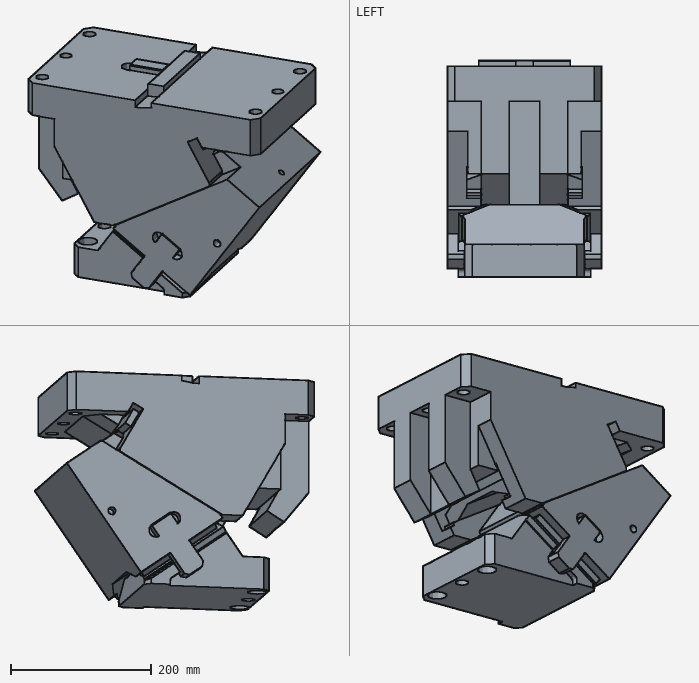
import cadquery as cq
import math


REACH = 1089.0
TOL = 0.5
CLEARANCE = 0.7

MOUNT_ANGLE = 30.0
DRIVER_ANGLE = -35.0

MOUNT_LENGTH = 360.0
WIDTH = 220.0
HALF_WIDTH = WIDTH / 2
PLATE_TOP = 300.5
PLATE_LEFT_BOTTOM = 250.5
PLATE_RIGHT_BOTTOM = 245.0
PLATE_CHAMFER = 11.0
CHEEK_LEFT = 45.0
CHEEK_SHOULDER = 207.5
CHEEK_FOOT = 101.0
CHEEK_RIGHT = 285.0

INNER_BLOCK_HALF = 80.5
INNER_BLOCK_BOTTOM = 147.0
CLAW_HALF = 61.5
CLAW_TIP_LEFT = (36.0, 103.0)
CLAW_TIP_RIGHT = (61.0, 118.3)
CLAW_GAP = 44.0
CLAW_GAP_DEPTH = 36.3

SLOT_START_A = 342.5
SLOT_LIP = 9.8
SLOT_END_A = 359.3
SLOT_TOP_H = 90.5
RECESS_HALF = 82.0
RECESS_TOP_H = 98.0
RECESS_STEPS = ((47.2, 150.3), (51.5, 161.0))
RECESS_ROOF_END_A = 181.5
RECESS_ROOF_SIDE_H = 67.0
RECESS_ROOF_MIDDLE_H = 75.5
STOP_HALF = 81.5
STOP_FLAT_HALF = 61.7
STOP_SIDE_H = 58.8
STOP_BOTTOM_H = 47.5

HOLE_LEFT_X = 15.2
HOLE_RIGHT_X = 344.0
HOLE_LEFT_Y = 85.0
HOLE_RIGHT_Y = 80.0
SCREW_HOLE = 17.8
DOWEL_HOLE = 16.5

GROOVE_LEFT = 170.2
GROOVE_RIGHT = 195.3
GROOVE_BREAK = 178.0
GROOVE_FLOOR = 290.0
GROOVE_RIGHT_FLOOR = 293.0
KEY_TOP = 309.0
KEY_CHAMFER = 1.5
CROSS_KEY_LENGTH = 130.5
LONG_KEY_LEFT = 120.0
LONG_KEY_WIDTH = 25.0
KEYWAY_LEFT = 102.7

SLIDER_TIP = (363.0, 167.0)
SLIDER_START_A = 56.3
SOLE_H = 156.8
SLIDER_TOP_H = 18.5
RAIL_HALF = 61.5
RAIL_WALL = 32.3
RAIL_RIDGE_HALF = 29.0
RAIL_RIDGE = 47.2
RAIL_START_A = 188.7
SOLE_GROOVE_HALF = 75.0
SOLE_GROOVE_DEPTH = 13.8
STRIP_OUTER = 94.0
STRIP_EDGE = 89.3
STRIP_DEPTH = 7.0
STRIP_START_INSET = 9.5
STRIP_END_INSET = 5.8
SIDE_HOLE = 10.5
SIDE_HOLE_DEPTH = 14.5
SIDE_HOLE_AT = (297.2, 100.0)
END_HOLE = 8.7
END_HOLE_DEPTH = 21.8
END_HOLE_INSET = 16.0

HOOK_START_A = 115.8
HOOK_WIDTH = 33.5
HOOK_TOP_H = 203.5
HOOK_BOTTOM_H = 115.5
HOOK_CHAMFER = 5.5
HOOK_LIP_INNER = 86.0
RELIEF_RADIUS = 9.0
POCKET_GAP = 1.0

DRIVER_LEFT = 60.5
DRIVER_RIGHT = 245.5
SHELF_TOP = 46.5
DRIVER_HALF = 85.0
DRIVER_CHAMFER = 10.0
RIDGE_HALF = 47.2
RIDGE_RISE = 10.0
EAVE_HALF = 88.5
EAVE_DROP = 10.0
UNDERCUT_HALF = 84.2
UNDERCUT_DROP = 18.0
LEDGE_DROP = 20.0
FOOT_TOP_DROP = 15.0
FOOT_BEVEL = 4.5
FOOT_LIP_H = 126.5
FOOT_HALF = 94.7
FOOT_LEFT = 208.7
FOOT_ROUND = 6.5
FOOT_CHAMFER = 8.5
BOLT_X = 75.0
BOLT_Y = 60.0
BOLT_HOLE = 27.0
DRIVER_DOWEL = 18.0


def slide_point(angle, along, height):
    """XZ position of a point given along and square to a slideway."""
    a = math.radians(angle)
    return (along * math.cos(a) - height * math.sin(a),
            along * math.sin(a) + height * math.cos(a))


def slide_coords(angle, point):
    """Inverse of slide_point: (along, height) of an XZ position."""
    return slide_point(-angle, *point)


def side_plate(points, y_from, y_to):
    """XZ outline extruded from y_from up to y_to."""
    flat = cq.Workplane("XZ", origin=(0, y_from, 0)).polyline(points).close()
    return flat.extrude(y_from - y_to)


def slide_prism(angle, half_section, start, end):
    """(y, height) half section, mirrored about Y = 0, run along a slideway."""
    a = math.radians(angle)
    plane = cq.Plane(origin=(0, 0, 0), xDir=(0, 1, 0), normal=(math.cos(a), 0, math.sin(a)))
    mirrored = [(-y, h) for y, h in reversed(half_section)]
    section = cq.Workplane(plane).workplane(offset=start).polyline(half_section + mirrored).close()
    return section.extrude(end - start)


def both_sides(solid):
    """The solid together with its mirror image about Y = 0."""
    return solid.union(solid.mirror("XZ"))


def vertical_holes(body, x, positions_y, diameter, bottom, top):
    """Round holes along Z at the given Y positions."""
    for y in positions_y:
        drill = cq.Workplane("XY", origin=(x, y, bottom)).circle(diameter / 2).extrude(top - bottom)
        body = body.cut(drill)
    return body


def rail_section(gap):
    """Half section of the slider's rail, grown by gap."""
    return [(RAIL_HALF + gap, SLIDER_TOP_H),
            (RAIL_HALF + gap, SLIDER_TOP_H + RAIL_WALL + gap),
            (RAIL_RIDGE_HALF, SLIDER_TOP_H + RAIL_RIDGE + gap)]


def mount_body():
    """Plate and cheeks, with the slot that ends the slideway."""
    slideway_h = SLIDER_TOP_H + CLEARANCE
    a = math.radians(MOUNT_ANGLE)
    foot_left = CHEEK_LEFT + (CHEEK_SHOULDER - CHEEK_FOOT) * math.tan(a)
    foot_right = (CHEEK_FOOT * math.cos(a) - slideway_h) / math.sin(a)
    tip_low = (slideway_h + CHEEK_RIGHT * math.sin(a)) / math.cos(a)
    tip_high = (SLOT_START_A - CHEEK_RIGHT * math.cos(a)) / math.sin(a)
    slot_mouth = (SLOT_END_A - PLATE_RIGHT_BOTTOM * math.sin(a)) / math.cos(a)
    body = side_plate([
        (0, PLATE_LEFT_BOTTOM),
        (0, PLATE_TOP),
        (MOUNT_LENGTH, PLATE_TOP),
        (MOUNT_LENGTH, PLATE_RIGHT_BOTTOM),
        (slot_mouth, PLATE_RIGHT_BOTTOM),
        slide_point(MOUNT_ANGLE, SLOT_END_A, SLOT_TOP_H),
        slide_point(MOUNT_ANGLE, SLOT_START_A, SLOT_TOP_H),
        (CHEEK_RIGHT, tip_high),
        (CHEEK_RIGHT, tip_low),
        (foot_right, CHEEK_FOOT),
        (foot_left, CHEEK_FOOT),
        (CHEEK_LEFT, CHEEK_SHOULDER),
        (CHEEK_LEFT, PLATE_LEFT_BOTTOM),
    ], -HALF_WIDTH, HALF_WIDTH)
    return body.edges("|Z and (<X or >X)").chamfer(PLATE_CHAMFER)


def mount_channel(body):
    """Channel for the slider's rail, and the lip that overhangs into the slot."""
    lip_bottom = SLIDER_TOP_H + RAIL_RIDGE + CLEARANCE
    lip_section = [(RECESS_HALF, lip_bottom), (RECESS_HALF, SLOT_TOP_H)]
    lip = slide_prism(MOUNT_ANGLE, lip_section, SLOT_START_A, SLOT_START_A + SLOT_LIP)
    channel = slide_prism(MOUNT_ANGLE, rail_section(CLEARANCE), 0, SLOT_END_A)
    return body.union(lip).cut(channel)


def mount_recess(body):
    """Stepped recess in the slanted left end, deepest above a roof-shaped edge."""
    a = math.radians(MOUNT_ANGLE)
    start = CHEEK_LEFT * math.cos(a) + CHEEK_SHOULDER * math.sin(a)
    for floor_h, end in RECESS_STEPS:
        section = [(RECESS_HALF, floor_h), (RECESS_HALF, RECESS_TOP_H)]
        body = body.cut(slide_prism(MOUNT_ANGLE, section, start, end))
    roof_section = [
        (CLAW_HALF, RECESS_ROOF_MIDDLE_H),
        (RECESS_HALF, RECESS_ROOF_SIDE_H),
        (RECESS_HALF, RECESS_TOP_H),
    ]
    return body.cut(slide_prism(MOUNT_ANGLE, roof_section, start, RECESS_ROOF_END_A))


def mount_stop():
    """Bevelled stop under the plate, to the right of the slot."""
    section = [(STOP_FLAT_HALF, STOP_BOTTOM_H), (STOP_HALF, STOP_SIDE_H), (STOP_HALF, SLOT_TOP_H)]
    stop = slide_prism(MOUNT_ANGLE, section, SLOT_END_A, SLOT_END_A + MOUNT_LENGTH)
    below_plate = cq.Workplane("XY").box(
        MOUNT_LENGTH, WIDTH, PLATE_RIGHT_BOTTOM, centered=(False, True, False))
    return stop.intersect(below_plate)


def mount_claws():
    """Block under the left end of the plate and the two claws hanging from it."""
    a = math.radians(MOUNT_ANGLE)
    block_right = CHEEK_LEFT + (CHEEK_SHOULDER - INNER_BLOCK_BOTTOM) * math.tan(a)
    block = side_plate([
        (CHEEK_LEFT, CHEEK_SHOULDER),
        (CHEEK_LEFT, INNER_BLOCK_BOTTOM),
        (block_right, INNER_BLOCK_BOTTOM),
    ], -INNER_BLOCK_HALF, INNER_BLOCK_HALF)
    claws = side_plate([
        (0, PLATE_LEFT_BOTTOM),
        (CHEEK_LEFT, PLATE_LEFT_BOTTOM),
        (CHEEK_LEFT, INNER_BLOCK_BOTTOM),
        CLAW_TIP_RIGHT,
        CLAW_TIP_LEFT,
        (0, INNER_BLOCK_BOTTOM),
    ], -CLAW_HALF, CLAW_HALF)
    gap = cq.Workplane("XY").box(CLAW_GAP_DEPTH, CLAW_GAP, PLATE_LEFT_BOTTOM, centered=(False, True, False))
    return block.union(claws.cut(gap))


def mount_keys(body):
    """Cross groove and keyway in the plate, with their raised keys."""
    groove = side_plate([
        (GROOVE_LEFT, GROOVE_FLOOR),
        (GROOVE_BREAK, GROOVE_FLOOR),
        (GROOVE_RIGHT, GROOVE_RIGHT_FLOOR),
        (GROOVE_RIGHT, PLATE_TOP),
        (GROOVE_LEFT, PLATE_TOP),
    ], -HALF_WIDTH, HALF_WIDTH)
    keyway_x = KEYWAY_LEFT + LONG_KEY_WIDTH / 2
    keyway_depth = PLATE_TOP - GROOVE_FLOOR
    keyway_floor = cq.Workplane("XY", origin=(keyway_x, 0, GROOVE_FLOOR))
    keyway = keyway_floor.circle(LONG_KEY_WIDTH / 2).extrude(keyway_depth)
    keyway = keyway.union(keyway_floor.box(
        GROOVE_LEFT - keyway_x, LONG_KEY_WIDTH, keyway_depth, centered=(False, True, False)))
    key_height = KEY_TOP - GROOVE_FLOOR
    long_key = (
        cq.Workplane("XY", origin=(LONG_KEY_LEFT, 0, GROOVE_FLOOR))
        .box(GROOVE_LEFT - LONG_KEY_LEFT, LONG_KEY_WIDTH, key_height, centered=(False, True, False))
        .edges("|X and >Z").chamfer(KEY_CHAMFER))
    cross_key = side_plate([
        (GROOVE_LEFT, GROOVE_FLOOR),
        (GROOVE_BREAK, GROOVE_FLOOR),
        (GROOVE_RIGHT, GROOVE_RIGHT_FLOOR),
        (GROOVE_RIGHT, KEY_TOP),
        (GROOVE_LEFT, KEY_TOP),
    ], -CROSS_KEY_LENGTH / 2, CROSS_KEY_LENGTH / 2)
    left_top_edge = cq.NearestToPointSelector((GROOVE_LEFT, 0, KEY_TOP))
    cross_key = cross_key.edges("|Y").edges(left_top_edge).chamfer(KEY_CHAMFER)
    return body.cut(groove).cut(keyway).union(long_key).union(cross_key)


def make_mount():
    mount = mount_recess(mount_channel(mount_body())).union(mount_stop()).union(mount_claws())
    mount = mount_keys(mount)
    for x, y, bottom in ((HOLE_LEFT_X, HOLE_LEFT_Y, PLATE_LEFT_BOTTOM),
                         (HOLE_RIGHT_X, HOLE_RIGHT_Y, PLATE_RIGHT_BOTTOM)):
        mount = vertical_holes(mount, x, (-y, y), SCREW_HOLE, bottom, PLATE_TOP)
        mount = vertical_holes(mount, x, (0,), DOWEL_HOLE, bottom, PLATE_TOP)
    return mount


TIP_A, TIP_H = slide_coords(DRIVER_ANGLE, SLIDER_TIP)


def slider_body():
    """Block between the two slideways, with the ridged rail on top."""
    block = side_plate([
        slide_point(DRIVER_ANGLE, SLIDER_START_A, SOLE_H),
        slide_point(DRIVER_ANGLE, TIP_A, SOLE_H),
        SLIDER_TIP,
        slide_point(DRIVER_ANGLE, SLIDER_START_A, TIP_H),
    ], -HALF_WIDTH, HALF_WIDTH)
    below_top = [(HALF_WIDTH, -REACH), (HALF_WIDTH, SLIDER_TOP_H)]
    lower = slide_prism(MOUNT_ANGLE, below_top, 0, REACH)
    rail = slide_prism(MOUNT_ANGLE, rail_section(0), RAIL_START_A, REACH)
    return block.intersect(lower.union(rail))


def slider_sole(body):
    """Vee groove over the driver's ridge and the strips along its edges."""
    groove_section = [(SOLE_GROOVE_HALF, SOLE_H), (RIDGE_HALF, SOLE_H + SOLE_GROOVE_DEPTH)]
    groove = slide_prism(DRIVER_ANGLE, groove_section, 0, REACH)
    strip_section = [
        (STRIP_OUTER, SOLE_H),
        (STRIP_EDGE, SOLE_H - STRIP_DEPTH),
        (SOLE_GROOVE_HALF, SOLE_H),
    ]
    strip_start = SLIDER_START_A + STRIP_START_INSET
    strips = slide_prism(DRIVER_ANGLE, strip_section, strip_start, TIP_A - STRIP_END_INSET)
    return body.cut(groove).union(strips)


def hook_outline(top):
    """XZ outline of a hook from its lower end to the given height."""
    end_a = HOOK_START_A + HOOK_WIDTH
    corners = ((HOOK_START_A, HOOK_BOTTOM_H), (end_a, HOOK_BOTTOM_H), (end_a, top), (HOOK_START_A, top))
    return [slide_point(DRIVER_ANGLE, along, height) for along, height in corners]


def slider_hook():
    """Front hook: a flush plate with a lip reaching under the driver's foot."""
    hook = side_plate(hook_outline(HOOK_TOP_H), -HALF_WIDTH, -FOOT_HALF)
    hook = hook.union(side_plate(hook_outline(FOOT_LIP_H), -FOOT_HALF, -HOOK_LIP_INNER))
    for along in (HOOK_START_A, HOOK_START_A + HOOK_WIDTH):
        x, z = slide_point(DRIVER_ANGLE, along, HOOK_BOTTOM_H)
        lower_corner = cq.selectors.BoxSelector((x - TOL, -REACH, z - TOL), (x + TOL, REACH, z + TOL))
        hook = hook.edges("|Y").edges(lower_corner).chamfer(HOOK_CHAMFER)
    return hook


def side_drill(point, diameter, depth):
    """Round cutter entering the front face at an XZ position."""
    return (cq.Workplane("XZ", origin=(0, -HALF_WIDTH, 0))
            .center(*point).circle(diameter / 2).extrude(-depth))


def make_slider():
    slider = slider_sole(slider_body())
    pocket = side_plate(hook_outline(HOOK_TOP_H + POCKET_GAP), -HALF_WIDTH, -FOOT_HALF)
    slider = slider.cut(both_sides(pocket))
    for along in (HOOK_START_A, HOOK_START_A + HOOK_WIDTH):
        centre = slide_point(DRIVER_ANGLE, along, HOOK_TOP_H - RELIEF_RADIUS)
        slider = slider.cut(both_sides(side_drill(centre, 2 * RELIEF_RADIUS, HALF_WIDTH - FOOT_HALF)))
    slider = slider.union(both_sides(slider_hook()))
    slider = slider.cut(both_sides(side_drill(SIDE_HOLE_AT, SIDE_HOLE, SIDE_HOLE_DEPTH)))
    x, z = slide_point(DRIVER_ANGLE, TIP_A - END_HOLE_INSET, TIP_H)
    a = math.radians(DRIVER_ANGLE)
    end_face = cq.Plane(origin=(x, 0, z), xDir=(0, 1, 0), normal=(-math.sin(a), 0, math.cos(a)))
    return slider.cut(cq.Workplane(end_face).circle(END_HOLE / 2).extrude(-END_HOLE_DEPTH))


def driver_body():
    """Shelf and ridge: the side outline limited by the roof-shaped section."""
    ridge_h = SOLE_H + RIDGE_RISE
    a = math.radians(DRIVER_ANGLE)
    ridge_right = (ridge_h + DRIVER_RIGHT * math.sin(a)) / math.cos(a)
    shelf_right = (SLIDER_START_A + SHELF_TOP * math.sin(-a)) / math.cos(a)
    outline = side_plate([
        (DRIVER_LEFT, 0),
        (DRIVER_RIGHT, 0),
        (DRIVER_RIGHT, ridge_right),
        slide_point(DRIVER_ANGLE, SLIDER_START_A, ridge_h),
        (shelf_right, SHELF_TOP),
        (DRIVER_LEFT, SHELF_TOP),
    ], -HALF_WIDTH, HALF_WIDTH)
    roof = slide_prism(DRIVER_ANGLE, [
        (DRIVER_HALF, -REACH),
        (DRIVER_HALF, SOLE_H - LEDGE_DROP),
        (UNDERCUT_HALF, SOLE_H - UNDERCUT_DROP),
        (EAVE_HALF, SOLE_H - EAVE_DROP),
        (RIDGE_HALF, ridge_h),
    ], -REACH, REACH)
    return outline.intersect(roof).edges("|Z and <X").chamfer(DRIVER_CHAMFER)


def driver_foot():
    """Widening on the front side, with the lip the hook grips."""
    outer_h = SOLE_H - FOOT_TOP_DROP
    top_h = outer_h + FOOT_BEVEL
    a = math.radians(DRIVER_ANGLE)
    lip_right = (FOOT_LIP_H + FOOT_LEFT * math.sin(a)) / math.cos(a)
    foot = side_plate([
        slide_point(DRIVER_ANGLE, HOOK_START_A, top_h),
        (DRIVER_RIGHT, (top_h + DRIVER_RIGHT * math.sin(a)) / math.cos(a)),
        (DRIVER_RIGHT, 0),
        (FOOT_LEFT, 0),
        (FOOT_LEFT, lip_right),
        slide_point(DRIVER_ANGLE, HOOK_START_A, FOOT_LIP_H),
    ], -FOOT_HALF, -UNDERCUT_HALF)
    inner_corner = cq.NearestToPointSelector((FOOT_LEFT, -FOOT_HALF, lip_right))
    foot = foot.edges("|Y").edges(inner_corner).fillet(FOOT_ROUND)
    foot = foot.edges("|Z and >X and <Y").chamfer(FOOT_CHAMFER)
    bevel_section = [(FOOT_HALF, -REACH), (FOOT_HALF, outer_h), (UNDERCUT_HALF, top_h)]
    return foot.intersect(slide_prism(DRIVER_ANGLE, bevel_section, 0, REACH))


def make_driver():
    driver = driver_body().union(both_sides(driver_foot()))
    driver = vertical_holes(driver, BOLT_X, (-BOLT_Y, BOLT_Y), BOLT_HOLE, 0, SHELF_TOP)
    return vertical_holes(driver, BOLT_X, (0,), DRIVER_DOWEL, 0, SHELF_TOP)


mount = make_mount()
slider = make_slider()
driver = make_driver()

result = cq.Compound.makeCompound([
    mount.solids().val(),
    slider.solids().val(),
    driver.solids().val(),
])